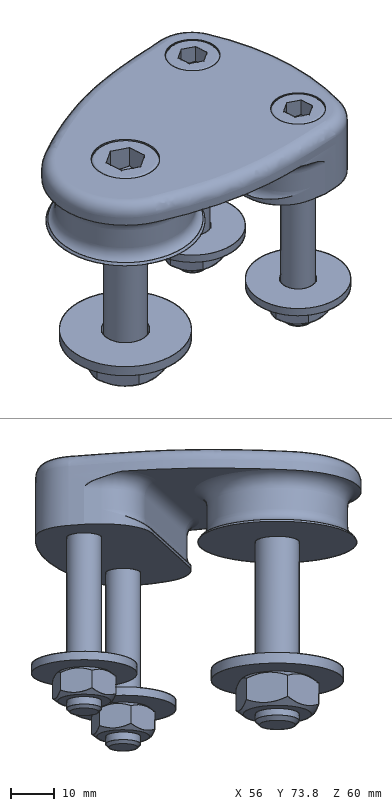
import cadquery as cq
import math

body_top = 17.0
plate_thickness = 5.1
plate_underside = body_top - plate_thickness
washer_top = -30.0

rear_bolt_x = 16.0
rear_bolt_y = 41.0

nose_radius = 19.0
nose_end_angle = math.radians(26.6)
plate_length = 73.8
plate_half_width = 27.0
side_bulge_point = (25.3, 15.05)
corner_radius = 10.3
corner_y = 41.55
edge_round = 3.0

neck_bottom = 3.4
neck_top = 8.35
upper_flare = 2.8
lower_flare = 2.1
lip_height = 0.6
lip_bevel = 0.45
front_neck_radius = 16.0

rear_neck_x = 16.7
rear_neck_y = 36.15
rear_neck_radius = 9.7
rear_lip_radius = 11.35
side_lean = math.radians(13)
side_length = 29.5

front_fastener = dict(
    shank=10.0, tip_z=-43.0, tip_chamfer=0.95,
    head=15.6, head_round=0.75, socket_flats=8.0, socket_depth=5.0,
    washer=30.0, washer_hole=11.0, washer_thickness=2.5,
    nut_flats=17.0, nut_height=8.0, nut_top_face=16.2, nut_bottom_face=15.5,
)
rear_fastener = dict(
    shank=8.0, tip_z=-41.0, tip_chamfer=0.75,
    head=12.5, head_round=0.6, socket_flats=6.0, socket_depth=4.0,
    washer=24.0, washer_hole=8.4, washer_thickness=2.0,
    nut_flats=13.0, nut_height=6.5, nut_top_face=12.0, nut_bottom_face=12.0,
)
nut_chamfer_slope = 0.8
socket_point_slope = 0.6
hex_corner_ratio = 2 / math.sqrt(3)


def plate_prism(bottom, top):
    """Prism over the plate outline: round nose, curved sides, round corners and a bowed back."""
    back_y = plate_length - nose_radius
    corner_x = plate_half_width - corner_radius
    rise = back_y - corner_y
    back_radius = (corner_x**2 + rise**2 - corner_radius**2) / (2 * (rise - corner_radius))
    back_angle = math.asin(corner_x / (back_radius - corner_radius))
    corner_mid_angle = (math.pi / 2 - back_angle) / 2

    nose_x = nose_radius * math.cos(nose_end_angle)
    nose_y = -nose_radius * math.sin(nose_end_angle)
    back_x = corner_x + corner_radius * math.sin(back_angle)
    back_end_y = corner_y + corner_radius * math.cos(back_angle)
    mid_x = corner_x + corner_radius * math.cos(corner_mid_angle)
    mid_y = corner_y + corner_radius * math.sin(corner_mid_angle)
    bulge_x, bulge_y = side_bulge_point
    right_nose_slope = (math.sin(nose_end_angle), math.cos(nose_end_angle))
    left_nose_slope = (math.sin(nose_end_angle), -math.cos(nose_end_angle))
    right_side = [(bulge_x, bulge_y), (plate_half_width, corner_y)]
    left_side = [(-bulge_x, bulge_y), (-nose_x, nose_y)]

    return (
        cq.Workplane("XY", origin=(0, 0, bottom))
        .moveTo(-nose_x, nose_y)
        .threePointArc((0, -nose_radius), (nose_x, nose_y))
        .spline(right_side, [right_nose_slope, (0, 1)], includeCurrent=True)
        .threePointArc((mid_x, mid_y), (back_x, back_end_y))
        .threePointArc((0, back_y), (-back_x, back_end_y))
        .threePointArc((-mid_x, mid_y), (-plate_half_width, corner_y))
        .spline(left_side, [(0, -1), left_nose_slope], includeCurrent=True)
        .close()
        .extrude(top - bottom)
    )


def flared_profile(plane, neck):
    """Half section of a post: local x runs outward from its middle, local y runs up."""
    flare_height = neck_bottom - lip_height
    flare_width = lower_flare - lip_bevel
    lower_radius = (flare_width**2 + flare_height**2) / (2 * flare_width)
    lip = neck + lower_flare
    return (
        cq.Workplane(plane)
        .moveTo(neck, neck_bottom)
        .lineTo(neck, neck_top)
        .tangentArcPoint((neck + upper_flare, plate_underside), relative=False)
        .lineTo(0, plate_underside)
        .lineTo(0, 0)
        .lineTo(lip, 0)
        .lineTo(lip - lip_bevel, lip_height)
        .radiusArc((neck, neck_bottom), lower_radius)
        .close()
    )


def flared_post(x, y, neck_radius):
    """Round post turned about a vertical axis."""
    plane = cq.Plane(origin=(x, y, 0), xDir=(1, 0, 0), normal=(0, -1, 0))
    return flared_profile(plane, neck_radius).revolve(360, (0, 0), (0, 1))


def rear_prism(radius, height):
    """Straight front, round corners and leaning sides; every radius shares the same side planes."""
    across = math.cos(side_lean)
    along = math.sin(side_lean)
    inset = radius - rear_neck_radius
    x = rear_neck_x - inset * across
    y = rear_neck_y + inset * along
    return (
        cq.Workplane("XY")
        .moveTo(-x, y - radius)
        .lineTo(x, y - radius)
        .radiusArc((x + radius * across, y - radius * along), -radius)
        .line(side_length * along, side_length * across)
        .lineTo(-x - radius * across - side_length * along, y - radius * along + side_length * across)
        .line(side_length * along, -side_length * across)
        .radiusArc((-x, y - radius), -radius)
        .close()
        .extrude(height)
    )


def flared_wall(start, outward, length):
    """Flared section run in a straight line, toward the right hand when facing outward."""
    plane = cq.Plane(origin=start, xDir=outward, normal=(outward[1], -outward[0], 0))
    return flared_profile(plane, rear_neck_radius).extrude(length)


def rear_post():
    """Wide post under the back of the plate, flared at its front and sides."""
    side_outward = (-math.cos(side_lean), -math.sin(side_lean), 0)
    left_corner = flared_post(-rear_neck_x, rear_neck_y, rear_neck_radius)
    left_side = flared_wall((-rear_neck_x, rear_neck_y, 0), side_outward, side_length)
    left = left_corner.union(left_side)
    front = flared_wall((rear_neck_x, rear_neck_y, 0), (0, -1, 0), 2 * rear_neck_x)
    flared = front.union(left).union(left.mirror("YZ"))

    lip_area = rear_prism(rear_lip_radius, neck_bottom)
    lower = flared.intersect(lip_area)
    upper_area = cq.Workplane("XY", origin=(0, 0, neck_bottom)).rect(3 * plate_length, 3 * plate_length)
    upper = flared.intersect(upper_area.extrude(body_top))
    core = rear_prism(rear_neck_radius, plate_underside)
    return core.union(upper).union(lower).intersect(plate_prism(0, plate_underside))


def nut(size, top):
    """Hexagon nut with a flat facing +X and both ends coned."""
    corner_radius = size["nut_flats"] * hex_corner_ratio / 2
    height = size["nut_height"]
    top_face = size["nut_top_face"] / 2
    bottom_face = size["nut_bottom_face"] / 2
    top_drop = (corner_radius - top_face) * nut_chamfer_slope
    bottom_rise = (corner_radius - bottom_face) * nut_chamfer_slope
    hexagon = (
        cq.Workplane("XY")
        .transformed(rotate=(0, 0, 90))
        .polygon(6, 2 * corner_radius)
        .extrude(-height)
    )
    coned = (
        cq.Workplane("XZ")
        .polyline([
            (0, 0),
            (top_face, 0),
            (corner_radius, -top_drop),
            (corner_radius, bottom_rise - height),
            (bottom_face, -height),
            (0, -height),
        ])
        .close()
        .revolve(360, (0, 0), (0, 1))
    )
    return hexagon.intersect(coned).translate((0, 0, top))


def fastener(size):
    """Shank with chamfered tip, washer with a clearance hole, and nut."""
    tip_z = size["tip_z"]
    shank = cq.Workplane("XY", origin=(0, 0, tip_z)).circle(size["shank"] / 2).extrude(-tip_z)
    shank = shank.faces("<Z").chamfer(size["tip_chamfer"])
    thickness = size["washer_thickness"]
    washer = (
        cq.Workplane("XY", origin=(0, 0, washer_top))
        .circle(size["washer"] / 2)
        .circle(size["washer_hole"] / 2)
        .extrude(-thickness)
    )
    return shank.union(nut(size, washer_top - thickness)).union(washer)


def head_groove(size):
    """Gap around the rounded rim of a bolt head that sits flush with the plate."""
    rim = size["head"] / 2
    round_radius = size["head_round"]
    return (
        cq.Workplane("XZ", origin=(0, 0, body_top))
        .moveTo(rim - round_radius, 0)
        .radiusArc((rim, -round_radius), round_radius)
        .lineTo(rim, 0)
        .close()
        .revolve(360, (0, 0), (0, 1))
    )


def socket(size):
    """Hexagon socket with corners along X and a conical end."""
    corner_radius = size["socket_flats"] * hex_corner_ratio / 2
    depth = size["socket_depth"]
    full_depth = depth + corner_radius * socket_point_slope
    hexagon = cq.Workplane("XY").polygon(6, 2 * corner_radius).extrude(-full_depth)
    pointed = (
        cq.Workplane("XZ")
        .polyline([(0, 0), (corner_radius, 0), (corner_radius, -depth), (0, -full_depth)])
        .close()
        .revolve(360, (0, 0), (0, 1))
    )
    return hexagon.intersect(pointed).translate((0, 0, body_top))


plate = plate_prism(plate_underside, body_top).faces(">Z").edges().fillet(edge_round)
result = plate.union(flared_post(0, 0, front_neck_radius)).union(rear_post())

bolts = [
    (0, 0, front_fastener),
    (-rear_bolt_x, rear_bolt_y, rear_fastener),
    (rear_bolt_x, rear_bolt_y, rear_fastener),
]
for x, y, size in bolts:
    place = (x, y, 0)
    result = result.union(fastener(size).translate(place))
    result = result.cut(head_groove(size).translate(place))
    result = result.cut(socket(size).translate(place))